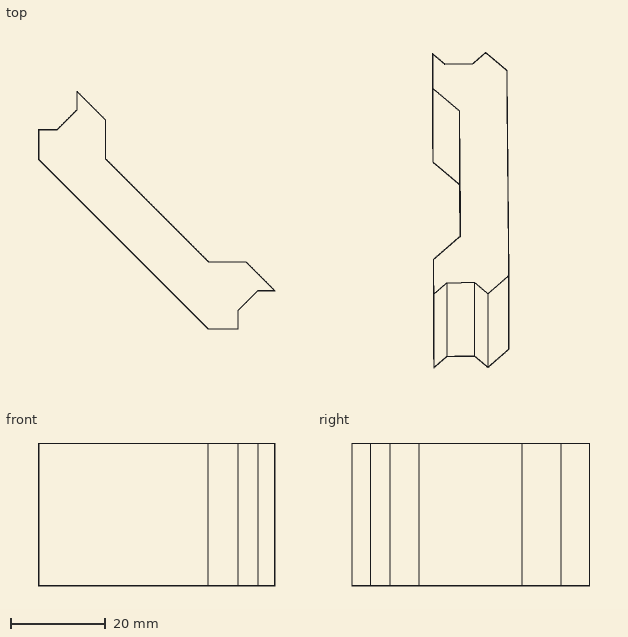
import cadquery as cq

height = 30.0

arm_base = 35.7
shoulder = 42.05
notch_depth = 3.9
hook_offset = 8.05
inner_offset = 14.15
inner_corner = 35.85
upper_hook_reach = 50.1
right_hook_reach = 49.8

notch_end = shoulder + hook_offset - notch_depth


def arm_outline(hook_reach):
    """Points of the upper arm, from its outer base round to its inner base."""
    hook_back = hook_reach - (inner_offset - hook_offset)
    return [
        (0, arm_base),
        (0, shoulder),
        (notch_depth, shoulder),
        (hook_offset, notch_end),
        (hook_offset, hook_reach),
        (inner_offset, hook_back),
        (inner_offset, inner_corner),
    ]


upper_arm = arm_outline(upper_hook_reach)
right_arm = [(x, y) for y, x in reversed(arm_outline(right_hook_reach))]

result = cq.Workplane("XY").polyline(upper_arm + right_arm).close().extrude(height)